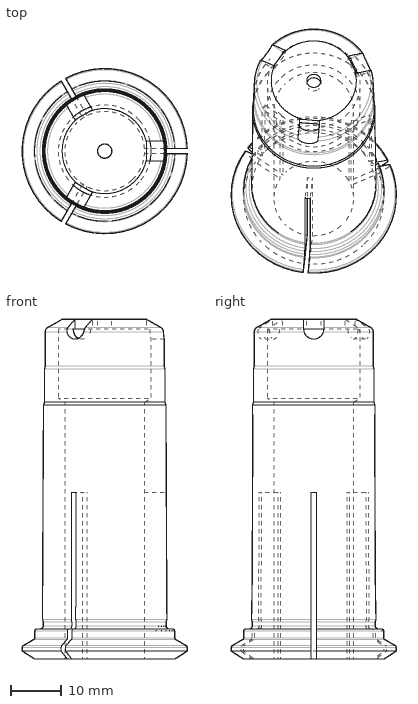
import cadquery as cq
import math

total_height = 67.9
sector_count = 3
sector_angle = 360 / sector_count
cut_margin = 5.0
search_margin = 0.01

flange_diameter = 33.0
foot_diameter = 28.0
rim_fillet = 0.5
flange_rim_bottom = 1.6
flange_rim_top = 2.6
collar_diameter = 28.0
collar_bottom = 4.05
collar_top = 6.05
collar_fillet = 0.45
collar_root_fillet = 0.25

neck_diameter = 24.6
neck_fillet = 0.6
neck_top = 7.45
body_bottom = 7.95
body_lower_diameter = 24.9
body_upper_diameter = 24.5
body_top = 50.7

guide_diameter = 24.1
guide_bottom = 51.3
guide_top = 57.9
head_diameter = 23.8
head_bottom = 58.5
nose_top_diameter = 17.0
nose_slope = math.tan(math.radians(30))
nose_bottom = total_height - (head_diameter - nose_top_diameter) / 2 * nose_slope
nose_fillet = 1.0

bore_diameter = 15.88
chamber_diameter = 18.5
chamber_bottom = guide_bottom
chamber_seat_height = (chamber_diameter - bore_diameter) / 2 * nose_slope
cap_thickness = 2.0
cap_underside = total_height - cap_thickness
centre_hole_diameter = 2.8

slit_width = 1.0
slit_top = 33.3
notch_width = 4.0
notch_axis_height = cap_underside
notch_inner_radius = 8.37


def make_outer_body():
    """Revolved outside shape, listed as (diameter, height) from foot to nose."""
    profile = [
        (foot_diameter, 0),
        (flange_diameter, flange_rim_bottom),
        (flange_diameter, flange_rim_top),
        (collar_diameter, collar_bottom),
        (collar_diameter, collar_top),
        (neck_diameter, collar_top),
        (neck_diameter, neck_top),
        (body_lower_diameter, body_bottom),
        (body_upper_diameter, body_top),
        (guide_diameter, guide_bottom),
        (guide_diameter, guide_top),
        (head_diameter, head_bottom),
        (head_diameter, nose_bottom),
        (nose_top_diameter, total_height),
    ]
    outline = cq.Workplane("XZ").moveTo(0, 0)
    for diameter, height in profile:
        outline = outline.lineTo(diameter / 2, height)
    return outline.lineTo(0, total_height).close().revolve(360, (0, 0, 0), (0, 1, 0))


def round_edge(body, diameter, height, radius):
    """Fillet the circular edge of the given diameter at the given height."""
    half_box = diameter / 2 + search_margin
    edge_box = cq.selectors.BoxSelector(
        (-half_box, -half_box, height - search_margin),
        (half_box, half_box, height + search_margin),
        boundingbox=True,
    )
    ring = body.edges(edge_box).edges(cq.selectors.RadiusNthSelector(-1))
    return ring.fillet(radius)


def make_cavity():
    """Stepped bore from the foot to the cap, with a conical seat between bore and chamber."""
    outline = (
        cq.Workplane("XZ")
        .moveTo(0, 0)
        .lineTo(bore_diameter / 2, 0)
        .lineTo(bore_diameter / 2, chamber_bottom)
        .lineTo(chamber_diameter / 2, chamber_bottom + chamber_seat_height)
        .lineTo(chamber_diameter / 2, cap_underside)
        .lineTo(centre_hole_diameter / 2, cap_underside)
        .lineTo(centre_hole_diameter / 2, total_height)
        .lineTo(0, total_height)
        .close()
    )
    return outline.revolve(360, (0, 0, 0), (0, 1, 0))


def make_slit():
    """Radial saw cut on the +X side, open at the foot."""
    length = flange_diameter / 2 + cut_margin
    return cq.Workplane("XY").box(length, slit_width, slit_top, centered=(False, True, False))


def make_notch():
    """Round-bottomed radial notch on the +X side, open through the nose."""
    length = head_diameter / 2 + cut_margin - notch_inner_radius
    start = cq.Workplane("YZ").workplane(offset=notch_inner_radius)
    round_bottom = start.center(0, notch_axis_height).circle(notch_width / 2).extrude(length)
    open_top = cq.Workplane("XY").box(
        length, notch_width, cap_thickness + cut_margin, centered=(False, True, False)
    )
    return round_bottom.union(open_top.translate((notch_inner_radius, 0, notch_axis_height)))


result = make_outer_body()
result = round_edge(result, flange_diameter, flange_rim_top, rim_fillet)
result = round_edge(result, collar_diameter, collar_bottom, collar_root_fillet)
result = round_edge(result, collar_diameter, collar_top, collar_fillet)
result = round_edge(result, neck_diameter, collar_top, neck_fillet)
result = round_edge(result, head_diameter, nose_bottom, nose_fillet)
result = result.cut(make_cavity())

for index in range(sector_count):
    angle = index * sector_angle
    for cutter in (make_slit(), make_notch()):
        result = result.cut(cutter.rotate((0, 0, 0), (0, 0, 1), angle))